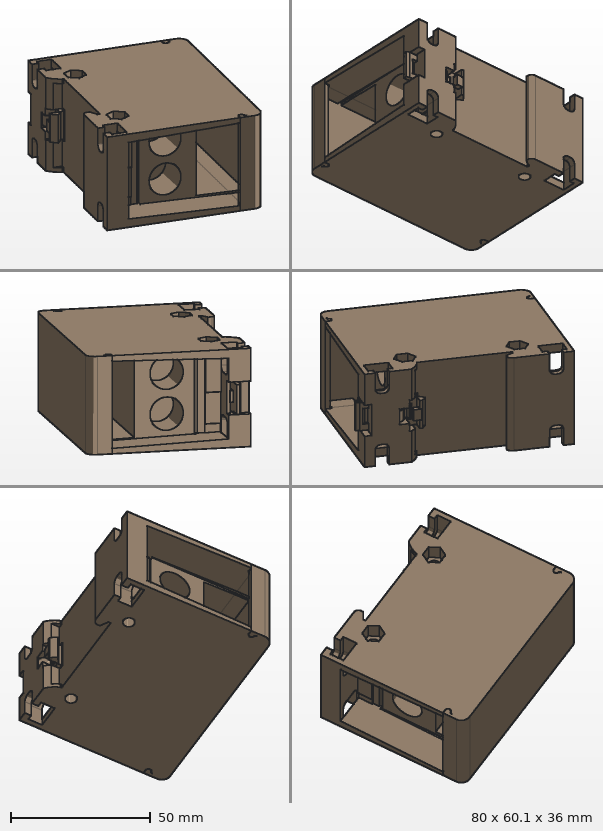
import cadquery as cq
import math

LENGTH = 78.0
DEPTH = 60.05
HEIGHT = 36.0
CORNER_RADIUS = 3.5
MID_X = LENGTH / 2
MID_Z = HEIGHT / 2

RAIL_DEPTH = 5.5
RAIL_LEFT = 20.9
RAIL_RIGHT = 56.4
FOOT_BEVEL_X = 17.5
FOOT_STEP_X = 19.4
FOOT_STEP_Y = 2.1
FOOT_LIP_Y = 5.0
FOOT_RIB = 1.75
HOOK_X = 53.4
HOOK_LOW_Y = 1.5
HOOK_HIGH_Y = 2.8
HOOK_ROOT_Y = 4.6
HOOK_RADIUS = 2.0

WINDOW_FRONT = 8.2
WINDOW_BACK = 51.0
WALL_FRONT = 3.25
WALL_BACK = 2.05
CAVITY_BACK = 58.0
DRAFT_END = 52.0
END_WALL = 1.8
BAY_LENGTH = 14.0
BLOCK_BACK = 39.5
FLOOR_GROOVE_X = 12.3
FLOOR_GROOVE_DEPTH = 1.0

ENTRY_DIAMETER = 12.2
ENTRY_DEPTH = 15.0
ENTRY_Y = 27.6
ENTRY_SPACING = 15.0
LEDGE_STEP = 0.5
LEDGE_BREAKS_Y = (13.9, 16.5, 17.4)
TERMINAL_BREAKS_Z = (6.4, MID_Z)

NUT_X = 18.1
NUT_Y = 11.0
NUT_FLATS = 7.0
NUT_DEPTH = 6.0
BOLT_DIAMETER = 4.3
SLOT_X = 6.6
NECK_WIDTH = 5.2
NECK_DEPTH = 8.1
HEAD_WIDTH = 9.1
HEAD_SEAT = 2.6
SLOT_RADIUS = 2.0

LATCH_END = -2.0
LATCH_WIDTH = 10.8
LATCH_LOW = 4.0
LATCH_HIGH = 5.8
LATCH_BEVEL_X = 1.3
LATCH_BEVEL_Y = 0.6
NOTCH_WIDTH = 12.0
NOTCH_END = 2.7
GUIDE_TOP = 7.0
GUIDE_END = 8.0
GUIDE_RIB_START = 3.2
GUIDE_RIB_WIDTH = 4.2
PRY_START = 0.55
PRY_STEP_X = 1.5
PRY_SHELF_DEPTH = 0.9
PRY_DEPTH = 1.5
PRY_WIDTH = 6.0
JAW_NOTCH_LEFT = 16.8
JAW_NOTCH_RIGHT = 21.3
JAW_BACK = 20.6
JAW_TIP = (23.25, 2.5)
JAW_FOOT = (21.6, 0.2)
JAW_ROOT_Y = 4.6
TONGUE_WIDTH = 4.3
TONGUE_SLOT = (13.1, 18.7)
TONGUE_SLOT_WIDTH = 6.0
TONGUE_FLOOR = 4.8
TONGUE_FLAT = (15.7, 16.8)
TONGUE_HEEL_Y = 0.3
TONGUE_RADIUS = 4.0
TONGUE_LEDGE = (17.4, 17.75)
TONGUE_LEDGE_Y = 3.0
TONGUE_BLOCK_X = 18.3
TONGUE_BLOCK_TOP = 2.1

SEAM_WIDTH = 0.1
SEAM_RUN = 1.6
SEAM_RADIUS = 1.1
SEAM_TIP = (1.3, 53.9)


def box(x_range, y_range, z_range):
    """Block between the given limits."""
    size = [end - start for start, end in (x_range, y_range, z_range)]
    corner = (x_range[0], y_range[0], z_range[0])
    return cq.Workplane("XY").box(*size, centered=False).translate(corner)


def centred(width):
    """Z limits of a feature centred on the body height."""
    return (MID_Z - width / 2, MID_Z + width / 2)


def extrude_centred(profile, width):
    """Extrude a closed XY profile over a width centred on the body height."""
    return profile.extrude(width).translate((0, 0, centred(width)[0]))


def mirror_ends(shape):
    """The shape together with its mirror image at the other end of the body."""
    return shape.union(shape.mirror("YZ", (MID_X, 0, 0)))


def mirror_sides(shape):
    """The shape together with its mirror image on the other Z side of the body."""
    return shape.union(shape.mirror("XY", (0, 0, MID_Z)))


def make_body():
    """Solid outline with the rail recess and its fixed hook."""
    outline = (
        cq.Workplane("XY")
        .moveTo(0, 0)
        .lineTo(FOOT_BEVEL_X, 0)
        .threePointArc((FOOT_STEP_X, FOOT_STEP_Y), (RAIL_LEFT, FOOT_LIP_Y))
        .lineTo(RAIL_LEFT, RAIL_DEPTH)
        .lineTo(RAIL_RIGHT, RAIL_DEPTH)
        .lineTo(RAIL_RIGHT, HOOK_ROOT_Y)
        .lineTo(HOOK_X, HOOK_HIGH_Y)
        .lineTo(HOOK_X, HOOK_LOW_Y)
        .radiusArc((HOOK_X + HOOK_RADIUS, 0), -HOOK_RADIUS)
        .lineTo(LENGTH, 0)
        .lineTo(LENGTH, DEPTH)
        .lineTo(0, DEPTH)
        .close()
    )
    body = outline.extrude(HEIGHT).edges("|Z and >Y").fillet(CORNER_RADIUS)
    relief = box(
        (FOOT_STEP_X, RAIL_LEFT),
        (FOOT_STEP_Y, RAIL_DEPTH),
        (FOOT_RIB, HEIGHT - FOOT_RIB),
    )
    return body.cut(relief)


def cavity_slab(x_range, y_front, y_back):
    """Part of the cavity between two Y limits, following the draft of the side walls."""

    def wall(y):
        along = (min(y, DRAFT_END) - WINDOW_FRONT) / (WINDOW_BACK - WINDOW_FRONT)
        return WALL_FRONT + (WALL_BACK - WALL_FRONT) * along

    stations = [y_front, y_back]
    if y_front < DRAFT_END < y_back:
        stations.insert(1, DRAFT_END)
    lower = [(y, wall(y)) for y in stations]
    upper = [(y, HEIGHT - wall(y)) for y in reversed(stations)]
    profile = cq.Workplane("YZ", origin=(x_range[0], 0, 0)).polyline(lower + upper).close()
    return profile.extrude(x_range[1] - x_range[0])


def make_cavity():
    """Passage behind the central block, plus an open bay at each end."""
    bay = cavity_slab((0, BAY_LENGTH), WINDOW_FRONT, WINDOW_BACK)
    passage = cavity_slab((END_WALL, LENGTH - END_WALL), BLOCK_BACK, CAVITY_BACK)
    groove = box(
        (FLOOR_GROOVE_X, BAY_LENGTH),
        (LEDGE_BREAKS_Y[-1], CAVITY_BACK),
        (WALL_BACK - FLOOR_GROOVE_DEPTH, MID_Z),
    )
    return mirror_ends(bay.union(mirror_sides(groove))).union(passage)


def make_ledges():
    """Steps at the foot of the central block, reaching further out towards the foot."""
    z_low = WALL_BACK
    z_high = HEIGHT - WALL_BACK
    lowest_y = LEDGE_BREAKS_Y[0]
    steps = [(y_end, z_low) for y_end in reversed(LEDGE_BREAKS_Y)]
    steps += [(lowest_y, z_start) for z_start in TERMINAL_BREAKS_Z]
    ledges = cq.Workplane("XY")
    for level, (y_end, z_start) in enumerate(steps, start=1):
        x_range = (BAY_LENGTH - level * LEDGE_STEP, BAY_LENGTH)
        ledges = ledges.add(box(x_range, (WINDOW_FRONT, y_end), (z_start, z_high)))
    return mirror_ends(ledges.combine())


def make_wire_entries():
    """Pair of blind round holes in each end face of the central block."""
    holes = (
        cq.Workplane("YZ", origin=(BAY_LENGTH, ENTRY_Y, MID_Z))
        .rarray(1, ENTRY_SPACING, 1, 2)
        .circle(ENTRY_DIAMETER / 2)
        .extrude(ENTRY_DEPTH)
    )
    return mirror_ends(holes)


def make_nut_holes():
    """Through bolt holes with hexagonal nut pockets in the top side."""
    across_corners = NUT_FLATS / math.cos(math.pi / 6)
    bolt = cq.Workplane("XY").center(NUT_X, NUT_Y).circle(BOLT_DIAMETER / 2).extrude(HEIGHT)
    pocket = (
        cq.Workplane("XY", origin=(NUT_X, NUT_Y, HEIGHT - NUT_DEPTH))
        .polygon(6, across_corners)
        .extrude(NUT_DEPTH)
    )
    return mirror_ends(bolt.union(pocket))


def make_screw_slots():
    """Rounded slots at the four foot corners: a narrow neck and a wide screw head space."""

    def slot(width, depth, y_range):
        x_range = (SLOT_X - width / 2, SLOT_X + width / 2)
        blank = box(x_range, y_range, (HEIGHT - depth, HEIGHT))
        return blank.edges("|Y and <Z").fillet(SLOT_RADIUS)

    head_depth = NECK_DEPTH + (HEAD_WIDTH - NECK_WIDTH) / 2
    neck = slot(NECK_WIDTH, NECK_DEPTH, (0, HEAD_SEAT))
    head = slot(HEAD_WIDTH, head_depth, (HEAD_SEAT, WINDOW_FRONT))
    return mirror_ends(mirror_sides(neck.union(head)))


def make_tongue_slot():
    """Slot around the spring tongue, cut into the body and the latch bar."""
    return box(TONGUE_SLOT, (0, TONGUE_FLOOR), centred(TONGUE_SLOT_WIDTH))


def make_latch_space():
    """Openings in the body around the visible parts of the latch."""
    notch_z = centred(NOTCH_WIDTH)
    pull_notch = box((0, NOTCH_END), (0, WINDOW_FRONT), notch_z)
    guide = box((NOTCH_END, GUIDE_END), (LATCH_HIGH, GUIDE_TOP), notch_z)
    jaw_notch = box((JAW_NOTCH_LEFT, JAW_NOTCH_RIGHT), (0, LATCH_HIGH), notch_z)
    return pull_notch.union(guide).union(jaw_notch).union(make_tongue_slot())


def make_latch_bar():
    """Flat bar with a bevelled pull tab at its outer end and a hooked jaw at the rail."""
    profile = (
        cq.Workplane("XY")
        .moveTo(LATCH_END, LATCH_HIGH)
        .lineTo(LATCH_END, LATCH_LOW + LATCH_BEVEL_Y)
        .lineTo(LATCH_END + LATCH_BEVEL_X, LATCH_LOW)
        .lineTo(JAW_BACK, LATCH_LOW)
        .lineTo(JAW_BACK, JAW_FOOT[1])
        .lineTo(*JAW_FOOT)
        .lineTo(*JAW_TIP)
        .lineTo(JAW_BACK, JAW_ROOT_Y)
        .lineTo(JAW_BACK, LATCH_HIGH)
        .close()
    )
    bar = extrude_centred(profile, LATCH_WIDTH)
    pry_z = centred(PRY_WIDTH)
    pry_shelf = box((PRY_START, PRY_STEP_X), (LATCH_LOW, LATCH_LOW + PRY_SHELF_DEPTH), pry_z)
    pry_pocket = box((PRY_STEP_X, NOTCH_END), (LATCH_LOW, LATCH_LOW + PRY_DEPTH), pry_z)
    rib = box((GUIDE_RIB_START, GUIDE_END), (LATCH_HIGH, GUIDE_TOP), centred(GUIDE_RIB_WIDTH))
    return bar.cut(pry_shelf).cut(pry_pocket).cut(make_tongue_slot()).union(rib)


def make_latch_tongue():
    """Spring tongue: a hollow curve down to a flat, a ramp, then a stop block against the jaw."""
    heel_x = TONGUE_SLOT[0]
    flat_start, flat_end = TONGUE_FLAT
    ramp_end, ledge_end = TONGUE_LEDGE
    profile = (
        cq.Workplane("XY")
        .moveTo(heel_x, TONGUE_FLOOR)
        .lineTo(heel_x, TONGUE_HEEL_Y)
        .radiusArc((flat_start, LATCH_LOW), -TONGUE_RADIUS)
        .lineTo(flat_end, LATCH_LOW)
        .lineTo(ramp_end, TONGUE_LEDGE_Y)
        .lineTo(ledge_end, TONGUE_LEDGE_Y)
        .lineTo(ledge_end, TONGUE_FLOOR)
        .close()
    )
    spring = extrude_centred(profile, TONGUE_WIDTH)
    block = box((TONGUE_BLOCK_X, JAW_NOTCH_RIGHT), (0, TONGUE_BLOCK_TOP), centred(TONGUE_WIDTH))
    return spring.union(block)


def make_cover_seams():
    """Fine hooked gaps through both side walls where the back cover snaps onto the body."""
    outer = SEAM_RADIUS + SEAM_WIDTH / 2
    inner = SEAM_RADIUS - SEAM_WIDTH / 2
    centre_y = WINDOW_BACK + SEAM_RADIUS
    half = SEAM_WIDTH / 2
    seam = (
        cq.Workplane("XY", origin=(0, 0, HEIGHT - WALL_BACK))
        .moveTo(0, WINDOW_BACK - half)
        .lineTo(SEAM_RUN, WINDOW_BACK - half)
        .threePointArc((SEAM_RUN + outer, centre_y), (SEAM_RUN, centre_y + outer))
        .lineTo(SEAM_TIP[0] + half, SEAM_TIP[1])
        .lineTo(SEAM_TIP[0] - half, SEAM_TIP[1])
        .lineTo(SEAM_RUN, centre_y + inner)
        .threePointArc((SEAM_RUN + inner, centre_y), (SEAM_RUN, WINDOW_BACK + half))
        .lineTo(0, WINDOW_BACK + half)
        .close()
        .extrude(WALL_BACK)
    )
    return mirror_ends(mirror_sides(seam))


enclosure = make_body().cut(make_cavity()).union(make_ledges())
enclosure = enclosure.cut(make_wire_entries()).cut(make_nut_holes()).cut(make_screw_slots())
enclosure = enclosure.cut(make_latch_space()).cut(make_cover_seams())
result = enclosure.union(make_latch_bar()).union(make_latch_tongue())